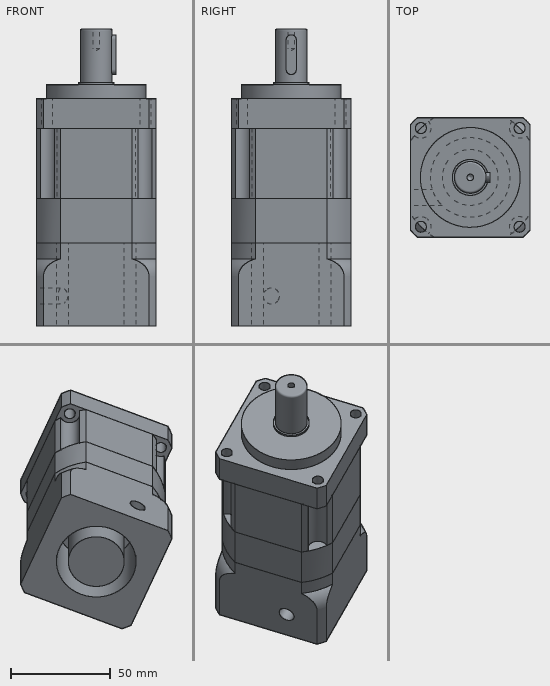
import cadquery as cq
import math

OVERALL_HEIGHT = 149.0
BODY_WIDTH = 60.0
CORNER_DIAMETER = 80.0
BARREL_DIAMETER = 70.0

ADAPTER_HEIGHT = 41.7
SHOULDER_START = 25.0
SHOULDER_RADIUS = 10.0
ACCESS_HOLE_DIAMETER = 8.0
ACCESS_HOLE_Y = -10.0
ACCESS_HOLE_Z = 15.0
CAVITY_DIAMETER = 40.0

HUB_DIAMETER = 28.0

GROOVED_LENGTH = 35.0
GROOVE_RADIUS = 5.0

FLANGE_THICKNESS = 15.0
BOSS_DIAMETER = 50.0
BOSS_HEIGHT = 7.0
COLLAR_DIAMETER = 18.0
COLLAR_HEIGHT = 1.0
MOUNT_HOLE_DIAMETER = 5.5
MOUNT_HOLE_OFFSET = 24.7
SHAFT_PROJECTION = 28.0
SHAFT_DIAMETER = 16.0
SHAFT_END_FILLET = 1.0
CENTRE_HOLE_DIAMETER = 3.3
CENTRE_HOLE_DEPTH = 10.0
DRILL_POINT_ANGLE = 118.0

KEY_WIDTH = 5.0
KEY_LENGTH = 20.0
KEY_TOP_X = 10.0
KEY_END_GAP = 3.0

BOSS_TOP = OVERALL_HEIGHT - SHAFT_PROJECTION
FLANGE_TOP = BOSS_TOP - BOSS_HEIGHT
FLANGE_BOTTOM = FLANGE_TOP - FLANGE_THICKNESS
GROOVE_BOTTOM = FLANGE_BOTTOM - GROOVED_LENGTH


def cylinder(diameter, bottom, top):
    """Upright cylinder on the main axis between two levels."""
    return cq.Workplane("XY").workplane(offset=bottom).circle(diameter / 2).extrude(top - bottom)


def square_block(bottom, top):
    """Square prism of the body width between two levels."""
    blank = cq.Workplane("XY").workplane(offset=bottom).rect(BODY_WIDTH, BODY_WIDTH)
    return blank.extrude(top - bottom)


def rounded_square(corner_diameter, bottom, top):
    """Square prism whose corners are turned down to a common diameter."""
    return square_block(bottom, top).intersect(cylinder(corner_diameter, bottom, top))


def corner_cylinders(radius, bottom, top):
    """Four upright cylinders on the mounting hole centres."""
    pitch = 2 * MOUNT_HOLE_OFFSET
    centres = cq.Workplane("XY").workplane(offset=bottom).rect(pitch, pitch, forConstruction=True)
    return centres.vertices().circle(radius).extrude(top - bottom)


def make_adapter():
    """Square foot whose corners curve in to the barrel, hollow for the hub, with an access hole."""
    foot_radius = CORNER_DIAMETER / 2
    barrel_radius = BARREL_DIAMETER / 2
    arc_centre_radius = foot_radius - SHOULDER_RADIUS
    shoulder_end = SHOULDER_START + math.sqrt(
        SHOULDER_RADIUS**2 - (barrel_radius - arc_centre_radius) ** 2
    )
    half_angle = math.acos((barrel_radius - arc_centre_radius) / SHOULDER_RADIUS) / 2
    arc_middle = (
        arc_centre_radius + SHOULDER_RADIUS * math.cos(half_angle),
        SHOULDER_START + SHOULDER_RADIUS * math.sin(half_angle),
    )
    turned = (
        cq.Workplane("XZ")
        .moveTo(0, 0)
        .lineTo(foot_radius, 0)
        .lineTo(foot_radius, SHOULDER_START)
        .threePointArc(arc_middle, (barrel_radius, shoulder_end))
        .lineTo(barrel_radius, ADAPTER_HEIGHT)
        .lineTo(0, ADAPTER_HEIGHT)
        .close()
        .revolve(360, (0, 0, 0), (0, 1, 0))
    )
    adapter = square_block(0, ADAPTER_HEIGHT).intersect(turned)
    cavity = cylinder(CAVITY_DIAMETER, 0, ADAPTER_HEIGHT)
    access_hole = (
        cq.Workplane("YZ", origin=(-BODY_WIDTH / 2, 0, 0))
        .center(ACCESS_HOLE_Y, ACCESS_HOLE_Z)
        .circle(ACCESS_HOLE_DIAMETER / 2)
        .extrude(BODY_WIDTH / 2)
    )
    return adapter.cut(cavity).cut(access_hole)


def make_gear_ring():
    """Rounded square ring section with the coupling hub below it."""
    ring = rounded_square(BARREL_DIAMETER, ADAPTER_HEIGHT, GROOVE_BOTTOM)
    hub = cylinder(HUB_DIAMETER, 0, ADAPTER_HEIGHT)
    return ring.union(hub)


def make_grooved_barrel():
    """Rounded square section with a screw groove along each corner."""
    barrel = rounded_square(BARREL_DIAMETER, GROOVE_BOTTOM, FLANGE_BOTTOM)
    return barrel.cut(corner_cylinders(GROOVE_RADIUS, GROOVE_BOTTOM, FLANGE_BOTTOM))


def make_centre_hole():
    """Drilled hole with a conical end, in the top of the shaft."""
    radius = CENTRE_HOLE_DIAMETER / 2
    bottom = OVERALL_HEIGHT - CENTRE_HOLE_DEPTH
    point_length = radius / math.tan(math.radians(DRILL_POINT_ANGLE / 2))
    return (
        cq.Workplane("XZ")
        .moveTo(0, OVERALL_HEIGHT)
        .lineTo(radius, OVERALL_HEIGHT)
        .lineTo(radius, bottom)
        .lineTo(0, bottom - point_length)
        .close()
        .revolve(360, (0, 0, 0), (0, 1, 0))
    )


def make_shaft():
    """Shaft with a rounded end, a centre hole and the key on its +X side."""
    shaft = cylinder(SHAFT_DIAMETER, BOSS_TOP, OVERALL_HEIGHT)
    shaft = shaft.faces(">Z").edges().fillet(SHAFT_END_FILLET)
    key_centre = OVERALL_HEIGHT - KEY_END_GAP - KEY_LENGTH / 2
    key_height = KEY_TOP_X - SHAFT_DIAMETER / 4
    key_seat = cq.Workplane("YZ", origin=(KEY_TOP_X - key_height, 0, key_centre))
    key = key_seat.slot2D(KEY_LENGTH, KEY_WIDTH, 90).extrude(key_height)
    return shaft.union(key).cut(make_centre_hole())


def make_output_head():
    """Mounting flange with corner holes, pilot boss, collar and shaft."""
    flange = rounded_square(CORNER_DIAMETER, FLANGE_BOTTOM, FLANGE_TOP)
    flange = flange.cut(corner_cylinders(MOUNT_HOLE_DIAMETER / 2, FLANGE_BOTTOM, FLANGE_TOP))
    boss = cylinder(BOSS_DIAMETER, FLANGE_TOP, BOSS_TOP)
    collar = cylinder(COLLAR_DIAMETER, BOSS_TOP, BOSS_TOP + COLLAR_HEIGHT)
    return flange.union(boss).union(collar).union(make_shaft())


adapter = make_adapter()
gear_ring = make_gear_ring()
grooved_barrel = make_grooved_barrel()
output_head = make_output_head()

result = cq.Compound.makeCompound(
    [adapter.val(), gear_ring.val(), grooved_barrel.val(), output_head.val()]
)